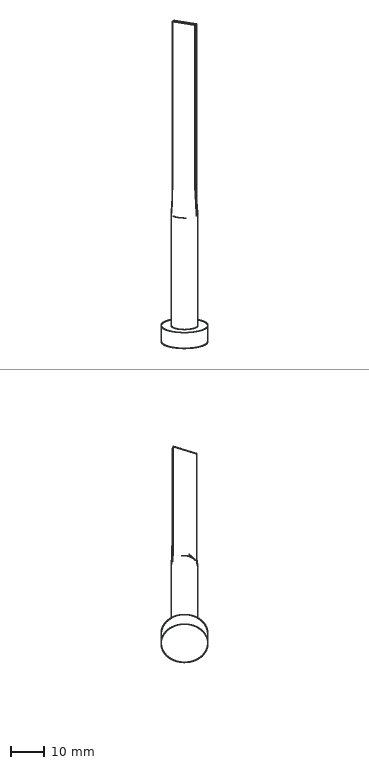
import cadquery as cq

total_height = 100.0
head_height = 5.0
shank_top = 40.0
blade_bottom = 50.0

head_diameter = 14.0
shank_diameter = 8.0
blade_width = 7.5
blade_thickness = 1.2


def round_section(diameter, bottom, top):
    return cq.Workplane("XY").workplane(offset=bottom).circle(diameter / 2).extrude(top - bottom)


def transition():
    """Loft from the round shank to the flat blade."""
    return (
        cq.Workplane("XY")
        .workplane(offset=shank_top)
        .circle(shank_diameter / 2)
        .workplane(offset=blade_bottom - shank_top)
        .rect(blade_width, blade_thickness)
        .loft(ruled=True)
    )


def blade():
    return (
        cq.Workplane("XY")
        .workplane(offset=blade_bottom)
        .rect(blade_width, blade_thickness)
        .extrude(total_height - blade_bottom)
    )


head = round_section(head_diameter, 0, head_height)
shank = round_section(shank_diameter, head_height, shank_top)

result = head.union(shank).union(transition()).union(blade())